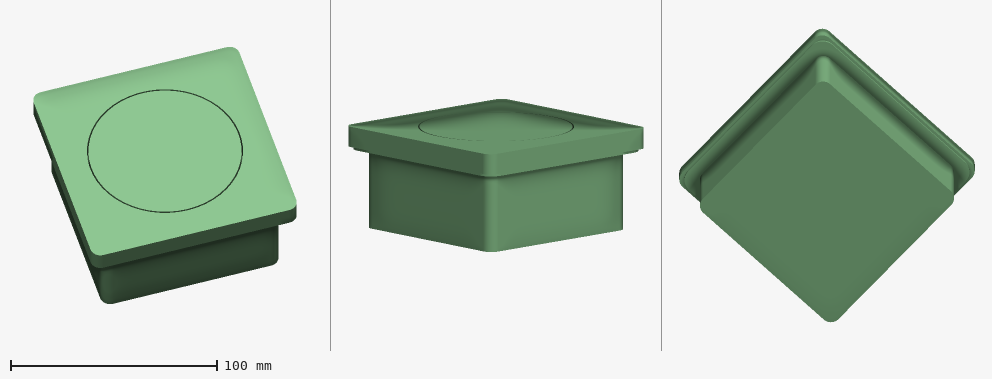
import cadquery as cq

plate_width = 104.2
plate_thickness = 10.0
plate_corner_radius = 5.0

seat_inset = 1.2
seat_width = plate_width - 2 * seat_inset
seat_thickness = 1.5
seat_corner_radius = 7.0

total_height = 50.1
body_width = 90.0
body_height = total_height - plate_thickness - seat_thickness
body_corner_radius = 5.0

groove_outer_radius = 37.8
groove_width = 0.7
groove_depth = plate_thickness


def rounded_square_block(width, height, corner_radius, base_z):
    """Square block centred on the Z axis with rounded vertical edges."""
    return (
        cq.Workplane("XY")
        .workplane(offset=base_z)
        .rect(width, width)
        .extrude(height)
        .edges("|Z")
        .fillet(corner_radius)
    )


seat_base_z = body_height
plate_base_z = seat_base_z + seat_thickness

body = rounded_square_block(body_width, body_height, body_corner_radius, 0)
seat = rounded_square_block(seat_width, seat_thickness, seat_corner_radius, seat_base_z)
plate = rounded_square_block(plate_width, plate_thickness, plate_corner_radius, plate_base_z)

groove = (
    cq.Workplane("XY")
    .workplane(offset=total_height - groove_depth)
    .circle(groove_outer_radius)
    .circle(groove_outer_radius - groove_width)
    .extrude(groove_depth)
)

result = body.union(seat).union(plate).cut(groove)